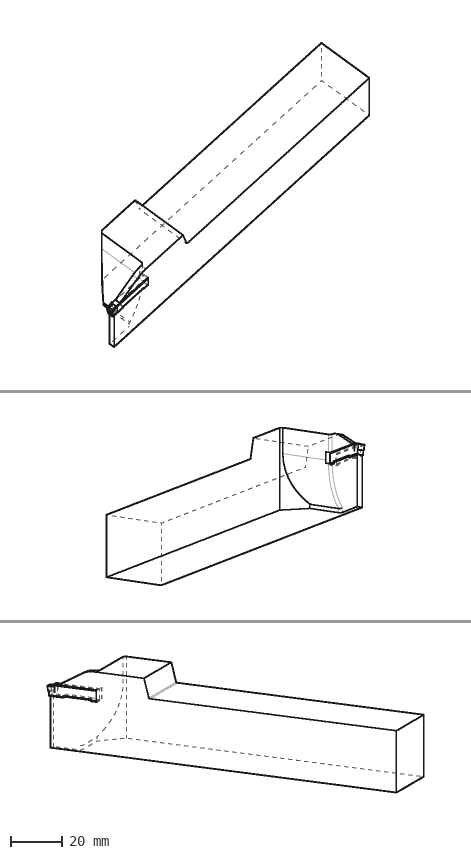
import cadquery as cq
import math


total_length = 150.0
shank_width = 25.0
shank_height = 25.0
head_height = 33.0
head_back_y = 41.5
head_back_angle = 15.0
head_back_fillet = 0.5

front_face_y = 21.2
curve_top_z = 22.7
step_y = 13.5
step_height = 1.7
corner_chamfer_y = 22.0

blade_thickness = 2.4
blade_front_y = 1.4
blade_fillet = 1.0
brow_radius = 9.9
brow_start_y = 20.0
brow_angle = 30.0

insert_width = 2.9
insert_overhang = 0.2
insert_back_y = front_face_y
insert_front_y = 0.8
insert_top_z = 25.8
insert_bottom_z = 20.9
waist_bottom_z = 21.3
waist_front_y = 6.9
waist_back_y = 18.8
edge_bevel_width = 0.2
edge_bevel_height = 0.5

cutting_edge_z = 24.9
cutting_head_bottom_z = 22.7
cutting_head_bottom_y = 0.5
cutting_head_back_y = 3.2
land_length = 1.4
ramp_top_y = 2.7
former_front_y = 0.9
former_depth = 0.3
ridge_width = 0.5
clearance_height = 0.9
body_side_relief = 0.08

relief_width = 2.1
relief_depth = 0.08
relief_length = 1.5

blade_x = shank_width - blade_thickness
insert_x = shank_width + insert_overhang - insert_width
head_foot_y = head_back_y + (head_height - shank_height) * math.tan(math.radians(head_back_angle))


def extrude_across(outline, x_start, width):
    """Extrude a closed Y-Z outline along +X from x_start."""
    return outline.extrude(width).translate((x_start, 0, 0))


def make_shank_and_head():
    curve_depth = front_face_y - step_y
    curve_drop = curve_top_z - step_height
    radius = (curve_depth**2 + curve_drop**2) / (2 * curve_depth)
    half_turn = math.asin(curve_drop / radius) / 2
    curve_middle = (
        front_face_y - radius * (1 - math.cos(half_turn)),
        curve_top_z - radius * math.sin(half_turn),
    )
    outline = (
        cq.Workplane("YZ")
        .moveTo(step_y, 0)
        .lineTo(total_length, 0)
        .lineTo(total_length, shank_height)
        .lineTo(head_foot_y, shank_height)
        .lineTo(head_back_y, head_height)
        .lineTo(front_face_y, head_height)
        .lineTo(front_face_y, curve_top_z)
        .threePointArc(curve_middle, (step_y, step_height))
        .close()
    )
    block = extrude_across(outline, 0, shank_width)
    foot = cq.selectors.NearestToPointSelector((shank_width / 2, head_foot_y, shank_height))
    return block.edges(foot).fillet(head_back_fillet)


def make_corner_chamfer():
    """Wedge that bevels the head's front corner at 45 degrees."""
    return (
        cq.Workplane("XY")
        .polyline([(0, corner_chamfer_y), (corner_chamfer_y, 0), (0, 0)])
        .close()
        .extrude(head_height)
    )


def make_blade():
    angle = math.radians(brow_angle)
    brow_center_z = head_height - brow_radius
    brow_middle = (
        brow_start_y - brow_radius * math.sin(angle / 2),
        brow_center_z + brow_radius * math.cos(angle / 2),
    )
    brow_end = (
        brow_start_y - brow_radius * math.sin(angle),
        brow_center_z + brow_radius * math.cos(angle),
    )
    slope_end_z = brow_end[1] - (brow_end[0] - blade_front_y) * math.tan(angle)
    outline = (
        cq.Workplane("YZ")
        .moveTo(blade_front_y, 0)
        .lineTo(head_back_y, 0)
        .lineTo(head_back_y, head_height)
        .lineTo(brow_start_y, head_height)
        .threePointArc(brow_middle, brow_end)
        .lineTo(blade_front_y, slope_end_z)
        .close()
    )
    return extrude_across(outline, blade_x, blade_thickness)


def fillet_blade_root(body):
    """Round the inner corner where the blade leaves the step, curve and flat face of the head."""
    margin = 0.2
    root = cq.selectors.BoxSelector(
        (blade_x - margin, step_y - margin, 0),
        (blade_x + margin, front_face_y + margin, (curve_top_z + head_height) / 2 + margin),
    )
    return body.edges(root).fillet(blade_fillet)


def make_beveled_bar(front_y, back_y, bottom_z):
    """Length of insert body whose four long edges are beveled."""
    left = insert_x + body_side_relief
    right = insert_x + insert_width - body_side_relief
    section = [
        (left, bottom_z + edge_bevel_height),
        (left + edge_bevel_width, bottom_z),
        (right - edge_bevel_width, bottom_z),
        (right, bottom_z + edge_bevel_height),
        (right, insert_top_z - edge_bevel_height),
        (right - edge_bevel_width, insert_top_z),
        (left + edge_bevel_width, insert_top_z),
        (left, insert_top_z - edge_bevel_height),
    ]
    back_plane = cq.Workplane("XZ", origin=(0, back_y, 0))
    return back_plane.polyline(section).close().extrude(back_y - front_y)


def make_insert_block():
    """Insert body with a waisted underside, before its tip is shaped."""
    front_end = make_beveled_bar(insert_front_y, waist_front_y, insert_bottom_z)
    waist = make_beveled_bar(waist_front_y, waist_back_y, waist_bottom_z)
    back_end = make_beveled_bar(waist_back_y, insert_back_y, insert_bottom_z)
    return front_end.union(waist).union(back_end)


def make_back_relief():
    """Shallow recess beside the insert's back end."""
    height = insert_top_z - waist_bottom_z
    recess = cq.Workplane("XY").box(relief_width, relief_length, height, centered=False)
    return recess.translate(
        (blade_x - relief_width, front_face_y + relief_depth - relief_length, waist_bottom_z)
    )


def make_holder():
    body = make_shank_and_head().cut(make_corner_chamfer()).union(make_blade())
    body = fillet_blade_root(body)
    return body.cut(make_back_relief()).cut(make_insert_block())


def make_cutting_head():
    """Wider front tip of the insert, with clearance faces and a chip former."""
    outline = cq.Workplane("YZ").polyline([
        (0, cutting_edge_z),
        (land_length, cutting_edge_z),
        (ramp_top_y, insert_top_z),
        (cutting_head_back_y, insert_top_z),
        (cutting_head_back_y, cutting_head_bottom_z),
        (cutting_head_bottom_y, cutting_head_bottom_z),
    ]).close()
    head = extrude_across(outline, insert_x, insert_width)
    lower_edges = head.faces("<X or >X").edges("|Y").edges("<Z")
    head = lower_edges.chamfer(body_side_relief, clearance_height)

    hollow = (
        cq.Workplane("YZ")
        .moveTo(former_front_y, cutting_edge_z)
        .threePointArc(
            ((former_front_y + ramp_top_y) / 2, cutting_edge_z - former_depth),
            (ramp_top_y, insert_top_z),
        )
        .lineTo(former_front_y, insert_top_z)
        .close()
    )
    return head.cut(extrude_across(hollow, insert_x + ridge_width, insert_width - 2 * ridge_width))


def make_insert():
    """Insert body with its front top corner replaced by the cutting head."""
    tip_space = cq.Workplane("XY").box(
        insert_width, cutting_head_back_y, insert_top_z - cutting_head_bottom_z, centered=False
    ).translate((insert_x, 0, cutting_head_bottom_z))
    return make_insert_block().cut(tip_space).union(make_cutting_head())


holder = make_holder()
insert = make_insert()
result = cq.Compound.makeCompound([holder.val(), insert.val()])